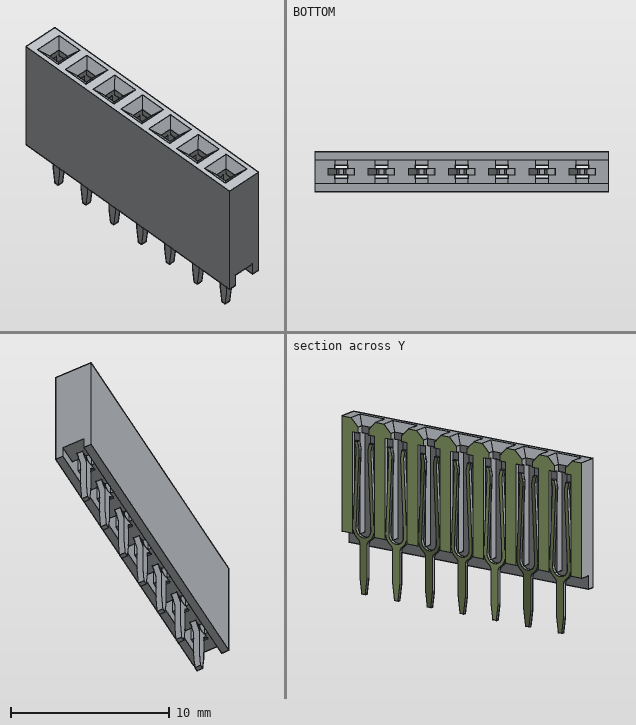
import cadquery as cq
import math

CONTACT_COUNT = 7
ROW_SPAN = 15.24
PITCH = ROW_SPAN / (CONTACT_COUNT - 1)
TOTAL_HEIGHT = 11.5

HOUSING_LENGTH = 18.58
HOUSING_DEPTH = 2.55
HOUSING_HEIGHT = 8.51
CHANNEL_WIDTH = 1.5
CHANNEL_HEIGHT = 0.9
CHANNEL_TOP_Z = CHANNEL_HEIGHT - HOUSING_HEIGHT

FUNNEL_SIDE = 1.9
FUNNEL_DEPTH = 0.54
THROAT_SIDE = 0.8
CHAMBER_TOP_Z = -1.0
FORK_SLOT_TOP_Z = -0.95

SHEET_THICKNESS = 0.4
TAIL_HALF_WIDTH = 0.3
TAIL_TIP_HALF_WIDTH = 0.15
TAIL_TIP_Z = -TOTAL_HEIGHT
TAPER_LENGTH = 1.13
SHOULDER_DROP = 0.6
SHOULDER_RADIUS = 0.39
FORK_INNER_RADIUS = 0.55
TINE_WIDTH = 0.28
FORK_OUTER_RADIUS = FORK_INNER_RADIUS + TINE_WIDTH
GRIP_HALF_GAP = 0.32
GRIP_Z = -2.0
TINE_TIP_HALF_GAP = 0.43
TINE_TIP_Z = -1.5


def centred_box(length, depth, bottom_z, top_z):
    """Box centred on the Z axis between two heights."""
    return cq.Workplane("XY", origin=(0, 0, bottom_z)).box(
        length, depth, top_z - bottom_z, centered=(True, True, False)
    )


def make_socket_cutter():
    """Opening for one contact: lead-in funnel, throat, chamber and fork slot."""
    funnel = (
        cq.Workplane("XY")
        .rect(FUNNEL_SIDE, FUNNEL_SIDE)
        .workplane(offset=-FUNNEL_DEPTH)
        .rect(THROAT_SIDE, THROAT_SIDE)
        .loft(ruled=True)
    )
    throat = centred_box(THROAT_SIDE, THROAT_SIDE, CHANNEL_TOP_Z, -FUNNEL_DEPTH)
    chamber = centred_box(THROAT_SIDE, CHANNEL_WIDTH, CHANNEL_TOP_Z, CHAMBER_TOP_Z)
    fork_slot = centred_box(2 * FORK_OUTER_RADIUS, SHEET_THICKNESS, CHANNEL_TOP_Z, FORK_SLOT_TOP_Z)
    return funnel.union(throat).union(chamber).union(fork_slot)


def make_housing(contact_positions):
    """Block with an open channel underneath and one socket per contact."""
    housing = centred_box(HOUSING_LENGTH, HOUSING_DEPTH, -HOUSING_HEIGHT, 0)
    housing = housing.cut(centred_box(HOUSING_LENGTH, CHANNEL_WIDTH, -HOUSING_HEIGHT, CHANNEL_TOP_Z))
    socket_cutter = make_socket_cutter()
    for x in contact_positions:
        housing = housing.cut(socket_cutter.translate((x, 0, 0)))
    return housing


def make_contact(x):
    """Flat contact: tapered tail, filleted shoulders and a two-tine fork."""
    shoulder_z = CHANNEL_TOP_Z - SHOULDER_DROP
    taper_z = TAIL_TIP_Z + TAPER_LENGTH

    shoulder_x = TAIL_HALF_WIDTH + SHOULDER_RADIUS
    tangent_angle = math.asin(shoulder_x / (FORK_OUTER_RADIUS + SHOULDER_RADIUS))
    bend_z = shoulder_z + (FORK_OUTER_RADIUS + SHOULDER_RADIUS) * math.cos(tangent_angle)

    def on_bend(angle):
        """Point on the outside of the bend, at an angle from straight down toward +X."""
        return (FORK_OUTER_RADIUS * math.sin(angle), bend_z - FORK_OUTER_RADIUS * math.cos(angle))

    fillet_mid_angle = (math.pi / 2 + tangent_angle) / 2
    fillet_mid = (
        shoulder_x - SHOULDER_RADIUS * math.sin(fillet_mid_angle),
        shoulder_z + SHOULDER_RADIUS * math.cos(fillet_mid_angle),
    )
    tangent_point = on_bend(tangent_angle)
    bend_mid = on_bend((tangent_angle + math.pi / 2) / 2)

    def mirrored(point):
        return (-point[0], point[1])

    profile = (
        cq.Workplane("XZ", origin=(x, SHEET_THICKNESS / 2, 0))
        .moveTo(-TAIL_TIP_HALF_WIDTH, TAIL_TIP_Z)
        .lineTo(TAIL_TIP_HALF_WIDTH, TAIL_TIP_Z)
        .lineTo(TAIL_HALF_WIDTH, taper_z)
        .lineTo(TAIL_HALF_WIDTH, shoulder_z)
        .threePointArc(fillet_mid, tangent_point)
        .threePointArc(bend_mid, (FORK_OUTER_RADIUS, bend_z))
        .lineTo(GRIP_HALF_GAP + TINE_WIDTH, GRIP_Z)
        .lineTo(TINE_TIP_HALF_GAP + TINE_WIDTH, TINE_TIP_Z)
        .lineTo(TINE_TIP_HALF_GAP, TINE_TIP_Z)
        .lineTo(GRIP_HALF_GAP, GRIP_Z)
        .lineTo(FORK_INNER_RADIUS, bend_z)
        .threePointArc((0, bend_z - FORK_INNER_RADIUS), (-FORK_INNER_RADIUS, bend_z))
        .lineTo(-GRIP_HALF_GAP, GRIP_Z)
        .lineTo(-TINE_TIP_HALF_GAP, TINE_TIP_Z)
        .lineTo(-TINE_TIP_HALF_GAP - TINE_WIDTH, TINE_TIP_Z)
        .lineTo(-GRIP_HALF_GAP - TINE_WIDTH, GRIP_Z)
        .lineTo(-FORK_OUTER_RADIUS, bend_z)
        .threePointArc(mirrored(bend_mid), mirrored(tangent_point))
        .threePointArc(mirrored(fillet_mid), (-TAIL_HALF_WIDTH, shoulder_z))
        .lineTo(-TAIL_HALF_WIDTH, taper_z)
        .close()
    )
    return profile.extrude(SHEET_THICKNESS)


contact_positions = [index * PITCH - ROW_SPAN / 2 for index in range(CONTACT_COUNT)]
housing = make_housing(contact_positions)
contacts = [make_contact(x) for x in contact_positions]

result = cq.Compound.makeCompound([housing.val(), *[contact.val() for contact in contacts]])